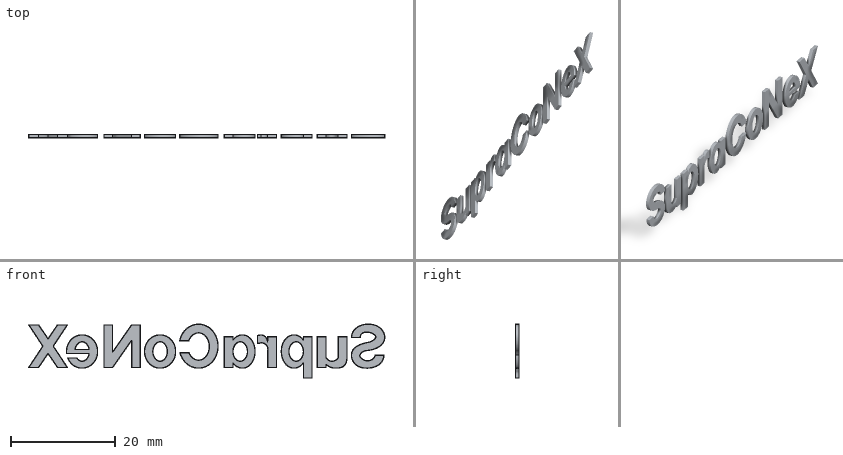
import cadquery as cq

thickness = 0.7
cap_height = 8.15
x_height = 5.9
descent = 2.05
overshoot = 0.15
stem_width = 1.7

round_top = 6.25
round_rx = 3.0
round_rz = (round_top + overshoot) / 2
round_z = round_top - round_rz
counter_rx = 1.35
counter_rz = 1.85

x_left = 0.0
e_left = 7.2
n_left = 14.35
o_left = 22.1
c_left = 28.7
a_left = 37.3
r_left = 43.6
p_right = 54.1
u_left = 55.05
s_left = 61.6
s_right = 67.95


def plane():
    """XZ plane on the back face, so extruding fills y = 0 to thickness."""
    return cq.Workplane("XZ", origin=(0, thickness, 0))


def plate(outline):
    return outline.close().extrude(thickness)


def polygon(points):
    return plate(plane().polyline(points))


def block(x0, x1, z0, z1):
    return polygon([(x0, z0), (x1, z0), (x1, z1), (x0, z1)])


def disc(x, z, rx, rz):
    """Elliptical plate with half-axes rx and rz."""
    turn = 90 if rz > rx else 0
    return plane().center(x, z).ellipse(max(rx, rz), min(rx, rz), turn).extrude(thickness)


def letter_x():
    width = 7.4
    arm = 1.9
    waist = 1.0
    crotch = 1.4
    center_x = x_left + width / 2
    middle = cap_height / 2
    right = x_left + width
    return polygon([
        (x_left, 0), (x_left + arm, 0), (center_x, middle - crotch), (right - arm, 0), (right, 0),
        (center_x + waist, middle),
        (right, cap_height), (right - arm, cap_height), (center_x, middle + crotch),
        (x_left + arm, cap_height), (x_left, cap_height),
        (center_x - waist, middle),
    ])


def letter_e():
    bar_bottom = 2.65
    bar_top = 3.45
    mouth_bottom = 1.85
    center_x = e_left + round_rx
    ring = letter_ring(center_x)
    mouth = block(e_left, center_x, mouth_bottom, bar_bottom)
    bar = block(e_left, center_x + round_rx, bar_bottom, bar_top)
    bar = bar.intersect(disc(center_x, round_z, round_rx, round_rz))
    return ring.cut(mouth).union(bar)


def letter_n():
    width = 7.0
    notch = 3.0
    right = n_left + width
    left_inner = n_left + stem_width
    right_inner = right - stem_width
    return polygon([
        (n_left, 0), (left_inner, 0), (right_inner, cap_height - notch), (right_inner, 0), (right, 0),
        (right, cap_height), (right_inner, cap_height), (left_inner, notch),
        (left_inner, cap_height), (n_left, cap_height),
    ])


def letter_ring(center_x):
    counter = disc(center_x, round_z, counter_rx, counter_rz)
    return disc(center_x, round_z, round_rx, round_rz).cut(counter)


def letter_o():
    return letter_ring(o_left + round_rx)


def letter_c():
    outer_rx = 3.75
    outer_rz = cap_height / 2 + overshoot
    inner_rx = 2.05
    inner_rz = 2.6
    inner_drop = 0.1
    mouth_bottom = 2.85
    mouth_top = 5.1
    center_x = c_left + outer_rx
    middle = cap_height / 2
    outer = disc(center_x, middle, outer_rx, outer_rz)
    inner = disc(center_x, middle - inner_drop, inner_rx, inner_rz)
    mouth = block(c_left, center_x, mouth_bottom, mouth_top)
    return outer.cut(inner).cut(mouth)


def stem_and_bowl(stem_left, stem_bottom, side):
    """Straight stem with a bowl on its right (side = 1) or left (side = -1)."""
    bowl_rx = 2.45
    bowl_offset = 1.8
    stem_right = stem_left + stem_width
    stem_edge = stem_right if side > 0 else stem_left
    bowl_x = stem_edge + side * bowl_offset
    bowl_tip = bowl_x + side * bowl_rx
    stem = block(stem_left, stem_right, stem_bottom, x_height)
    stem_side = block(min(stem_edge, bowl_tip), max(stem_edge, bowl_tip), -overshoot, round_top)
    bowl = disc(bowl_x, round_z, bowl_rx, round_rz).intersect(stem_side)
    counter = disc(stem_edge + side * counter_rx, round_z, counter_rx, counter_rz)
    return stem.union(bowl.cut(counter))


def letter_a():
    return stem_and_bowl(a_left, 0, 1)


def letter_r():
    stem_left = 45.6
    right = stem_left + stem_width
    outline = (
        plane().moveTo(stem_left, 0).lineTo(right, 0).lineTo(right, x_height)
        .lineTo(stem_left, x_height).lineTo(stem_left, 4.9)
        .threePointArc((45.1, 5.9), (44.3, round_top))
        .lineTo(r_left, 6.1).lineTo(r_left, 4.55)
        .lineTo(44.3, 4.7)
        .threePointArc((45.25, 4.35), (stem_left, 3.25))
    )
    return plate(outline)


def letter_p():
    return stem_and_bowl(p_right - stem_width, -descent, -1)


def letter_u():
    width = 5.7
    inner_start = 1.9
    inner_bottom = 1.2
    outer_start = 2.0
    bend_x = 58.6
    bend_end = 0.6
    left_inner = u_left + stem_width
    right = u_left + width
    right_inner = right - stem_width
    outline = (
        plane().moveTo(u_left, 0).lineTo(left_inner, 0).lineTo(left_inner, bend_end)
        .spline([(bend_x, -overshoot), (right, outer_start)],
                tangents=[(1, -1), (1, 0), (0, 1)], includeCurrent=True)
        .lineTo(right, x_height).lineTo(right_inner, x_height).lineTo(right_inner, inner_start)
        .threePointArc(((left_inner + right_inner) / 2, inner_bottom), (left_inner, inner_start))
        .lineTo(left_inner, x_height).lineTo(u_left, x_height)
    )
    return plate(outline)


def letter_s():
    center_x = 64.7
    upper_end = 5.7
    lower_end = 2.4
    lower_tip = 67.8
    top = cap_height + overshoot
    upper_edge = [
        (center_x, 6.7), (66.2, 5.8), (65.6, 5.1), (64.4, 4.75), (63.0, 4.3), (62.0, 3.5),
        (s_left, 2.25), (62.3, 0.6), (center_x, -overshoot), (67.0, 0.7), (lower_tip, lower_end),
    ]
    lower_edge = [
        (65.6, 1.55), (center_x, 1.3), (63.75, 1.55), (63.2, 2.25), (63.75, 3.0), (64.9, 3.25),
        (66.3, 3.7), (67.35, 4.35), (s_right, 5.8), (67.2, 7.4), (center_x, top), (62.3, 7.4),
        (s_left, upper_end),
    ]
    outline = (
        plane().moveTo(s_left, upper_end).lineTo(63.3, upper_end)
        .spline(upper_edge, includeCurrent=True)
        .lineTo(66.1, lower_end)
        .spline(lower_edge, includeCurrent=True)
    )
    return outline.wire().extrude(thickness)


letters = [
    letter_x(), letter_e(), letter_n(), letter_o(), letter_c(),
    letter_a(), letter_r(), letter_p(), letter_u(), letter_s(),
]
result = cq.Compound.makeCompound([letter.val() for letter in letters])